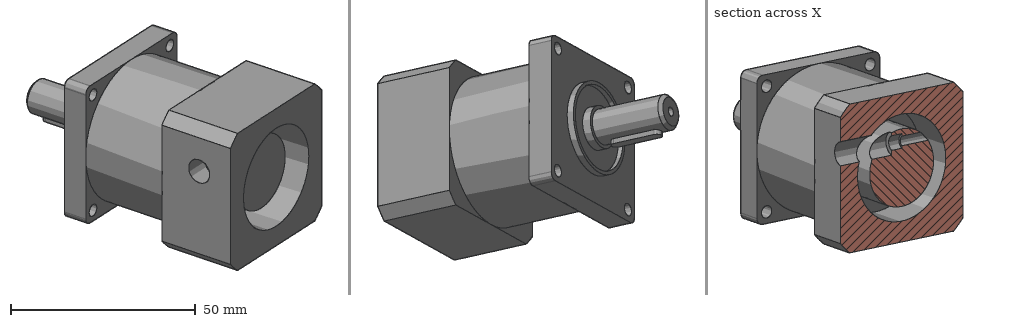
import cadquery as cq
import math


SHOULDER_X = 22.0
PILOT_X = 23.0
FLANGE_X = 25.0
RING_X = 32.2
ADAPTER_X = 57.7
REAR_X = 80.7

BODY_SIZE = 42.0
FLANGE_FILLET = 2.0
PILOT_DIA = 26.0
RECESS_DIA = 24.0
RECESS_DEPTH = 1.5
RECESS_FLOOR_X = PILOT_X + RECESS_DEPTH
BOLT_CIRCLE_DIA = 50.0
BOLT_HOLE_DIA = 3.5
ADAPTER_CORNER_DIA = 55.0
ADAPTER_BORE_DIA = 30.0

SHAFT_DIA = 10.0
SHAFT_CHAMFER = 1.0
SHOULDER_DIA = 12.0
CENTER_HOLE_DIA = 2.5
CENTER_HOLE_DEPTH = 5.0
DRILL_POINT_ANGLE = 118.0

KEY_START_X = 3.0
KEY_LENGTH = 16.0
KEY_WIDTH = 3.0
KEY_HEIGHT = 3.0
KEY_PROUD = 1.2
KEY_BOTTOM_Z = -(SHAFT_DIA / 2 + KEY_PROUD)

HUB_DIA = 22.0
HUB_LENGTH = 18.0
SCREW_X = 70.2
SCREW_Z = 7.5
SCREW_HEAD_DIA = 7.0
SCREW_SEAT_Y = -3.5
SCREW_CLEARANCE_DIA = 4.5
SCREW_THREAD_DIA = 3.3


def disc(diameter, start_x, end_x):
    """Cylinder about the X axis between two stations."""
    return cq.Workplane("YZ", origin=(start_x, 0, 0)).circle(diameter / 2).extrude(end_x - start_x)


def square_block(start_x, end_x):
    """Full-size square block about the X axis between two stations."""
    return cq.Workplane("YZ", origin=(start_x, 0, 0)).rect(BODY_SIZE, BODY_SIZE).extrude(end_x - start_x)


def screw_bore(diameter, start_y, end_y):
    """Cylinder along Y on the axis of the clamp screw."""
    plane = cq.Workplane("XZ", origin=(SCREW_X, start_y, SCREW_Z))
    return plane.circle(diameter / 2).extrude(start_y - end_y)


def make_key():
    plane = cq.Workplane("XY", origin=(KEY_START_X + KEY_LENGTH / 2, 0, KEY_BOTTOM_Z))
    return plane.slot2D(KEY_LENGTH, KEY_WIDTH).extrude(KEY_HEIGHT)


def make_shaft():
    shaft = disc(SHAFT_DIA, 0, SHOULDER_X).faces("<X").chamfer(SHAFT_CHAMFER)
    shaft = shaft.union(disc(SHOULDER_DIA, SHOULDER_X, RECESS_FLOOR_X))

    hole_radius = CENTER_HOLE_DIA / 2
    point_length = hole_radius / math.tan(math.radians(DRILL_POINT_ANGLE / 2))
    center_hole = (
        cq.Workplane("XY")
        .lineTo(0, hole_radius)
        .lineTo(CENTER_HOLE_DEPTH, hole_radius)
        .lineTo(CENTER_HOLE_DEPTH + point_length, 0)
        .close()
        .revolve(360, (0, 0, 0), (1, 0, 0))
    )
    return shaft.cut(center_hole).cut(make_key())


def make_housing():
    flange = square_block(FLANGE_X, RING_X).edges("|X").fillet(FLANGE_FILLET)
    bolt_spacing = BOLT_CIRCLE_DIA / math.sqrt(2)
    bolt_holes = (
        cq.Workplane("YZ", origin=(FLANGE_X, 0, 0))
        .rect(bolt_spacing, bolt_spacing, forConstruction=True)
        .vertices()
        .circle(BOLT_HOLE_DIA / 2)
        .extrude(RING_X - FLANGE_X)
    )
    pilot = disc(PILOT_DIA, PILOT_X, FLANGE_X)
    recess = disc(RECESS_DIA, PILOT_X, RECESS_FLOOR_X)

    ring = disc(BODY_SIZE, RING_X, ADAPTER_X)

    adapter = square_block(ADAPTER_X, REAR_X).intersect(disc(ADAPTER_CORNER_DIA, ADAPTER_X, REAR_X))
    bore = disc(ADAPTER_BORE_DIA, ADAPTER_X, REAR_X)
    access_hole = screw_bore(SCREW_HEAD_DIA, 0, -BODY_SIZE / 2)
    adapter = adapter.cut(bore).cut(access_hole)

    front = flange.cut(bolt_holes).union(pilot).cut(recess)
    return front.union(ring).union(adapter)


def make_clamp_hub():
    hub = disc(HUB_DIA, ADAPTER_X, ADAPTER_X + HUB_LENGTH)
    hub = hub.cut(screw_bore(SCREW_HEAD_DIA, SCREW_SEAT_Y, -HUB_DIA / 2))
    hub = hub.cut(screw_bore(SCREW_CLEARANCE_DIA, 0, SCREW_SEAT_Y))
    return hub.cut(screw_bore(SCREW_THREAD_DIA, HUB_DIA / 2, 0))


housing = make_housing()
shaft = make_shaft()
key = make_key()
clamp_hub = make_clamp_hub()

result = cq.Compound.makeCompound([housing.val(), shaft.val(), key.val(), clamp_hub.val()])